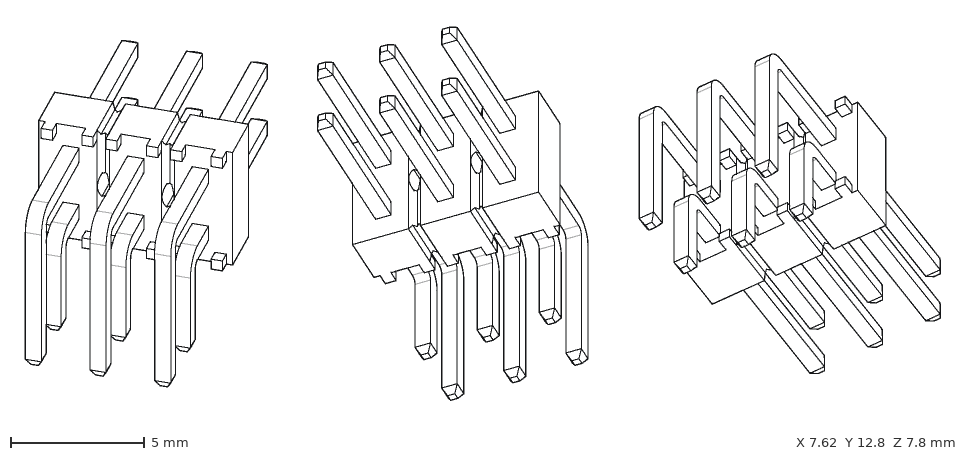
import cadquery as cq

columns = 3
pitch = 2.54

body_width = columns * pitch
body_depth = 2.05
body_height = 5.04

notch_width = 0.5
side_notch_depth = 0.27
end_notch_depth = 0.24
end_notch_floor = 0.25
window_width = 0.47
window_height = 1.02
window_end_width = 0.2

foot_size = 0.45
foot_length = 0.5

pin_size = 0.64
bend_inner_radius = 0.25
bend_outer_radius = bend_inner_radius + pin_size
tip_length = 0.3
tip_size = 0.29
mating_length = 5.85
front_reach = 4.86
tail_bottom = -5.28

front_y = -body_depth / 2
back_y = body_depth / 2
top_z = body_height / 2
column_xs = [(i - (columns - 1) / 2) * pitch for i in range(columns)]
joint_xs = [x + pitch / 2 for x in column_xs[:-1]]


def cut_joint(body, x):
    """Cut the grooves and the window between two neighbouring blocks."""
    half_width = notch_width / 2
    half_floor = end_notch_floor / 2
    for side in (-1, 1):
        face_y = side * back_y
        v_groove = (
            cq.Workplane("XY", origin=(x, 0, -top_z))
            .moveTo(-half_width, face_y)
            .lineTo(0, face_y - side * side_notch_depth)
            .lineTo(half_width, face_y)
            .close()
            .extrude(body_height)
        )
        face_z = side * top_z
        floor_z = face_z - side * end_notch_depth
        end_groove = (
            cq.Workplane("XZ", origin=(x, back_y, 0))
            .moveTo(-half_width, face_z)
            .lineTo(-half_floor, floor_z)
            .lineTo(half_floor, floor_z)
            .lineTo(half_width, face_z)
            .close()
            .extrude(body_depth)
        )
        body = body.cut(v_groove).cut(end_groove)
    half_end = window_end_width / 2
    half_window = window_height / 2
    window = (
        cq.Workplane("XZ", origin=(x, back_y, 0))
        .moveTo(-half_end, half_window)
        .lineTo(half_end, half_window)
        .threePointArc((window_width / 2, 0), (half_end, -half_window))
        .lineTo(-half_end, -half_window)
        .threePointArc((-window_width / 2, 0), (-half_end, half_window))
        .close()
        .extrude(body_depth)
    )
    return body.cut(window)


def make_body():
    body = cq.Workplane("XY").box(body_width, body_depth, body_height)
    for x in joint_xs:
        body = cut_joint(body, x)
    return body


def make_feet():
    """Four feet per column, in the corners of each block's front face."""
    foot_x = (pitch - notch_width - foot_size) / 2
    foot_z = (body_height - foot_size) / 2
    centers = [
        (x + side * foot_x, level * foot_z)
        for x in column_xs
        for side in (-1, 1)
        for level in (-1, 1)
    ]
    return (
        cq.Workplane("XZ", origin=(0, front_y, 0))
        .pushPoints(centers)
        .rect(foot_size, foot_size)
        .extrude(foot_length)
    )


def make_tip(plane):
    """Tapered square tip growing from the given plane."""
    return (
        cq.Workplane(plane)
        .rect(pin_size, pin_size)
        .workplane(offset=tip_length)
        .rect(tip_size, tip_size)
        .loft(combine=True)
    )


def make_pin(x, z, tail_y):
    """Bent pin with its mating leg at height z and its tail at tail_y."""
    half = pin_size / 2
    mating_end = back_y + mating_length - tip_length
    tail_end = tail_bottom + tip_length
    leg_top = z + half
    tail_front = tail_y - half
    bar = (
        cq.Workplane("YZ", origin=(x - half, 0, 0))
        .moveTo(mating_end, leg_top)
        .lineTo(tail_front + bend_outer_radius, leg_top)
        .radiusArc((tail_front, leg_top - bend_outer_radius), -bend_outer_radius)
        .lineTo(tail_front, tail_end)
        .lineTo(tail_front + pin_size, tail_end)
        .lineTo(tail_front + pin_size, leg_top - bend_outer_radius)
        .radiusArc((tail_front + bend_outer_radius, leg_top - pin_size), bend_inner_radius)
        .lineTo(mating_end, leg_top - pin_size)
        .close()
        .extrude(pin_size)
    )
    mating_tip = make_tip(cq.Plane((x, mating_end, z), (1, 0, 0), (0, 1, 0)))
    tail_tip = make_tip(cq.Plane((x, tail_y, tail_end), (1, 0, 0), (0, 0, -1)))
    return bar.union(mating_tip).union(tail_tip)


upper_tail_y = front_y - front_reach + pin_size / 2
rows = [
    (pitch / 2, upper_tail_y),
    (-pitch / 2, upper_tail_y + pitch),
]

result = make_body().union(make_feet())
for column_x in column_xs:
    for row_z, row_tail_y in rows:
        result = result.union(make_pin(column_x, row_z, row_tail_y))